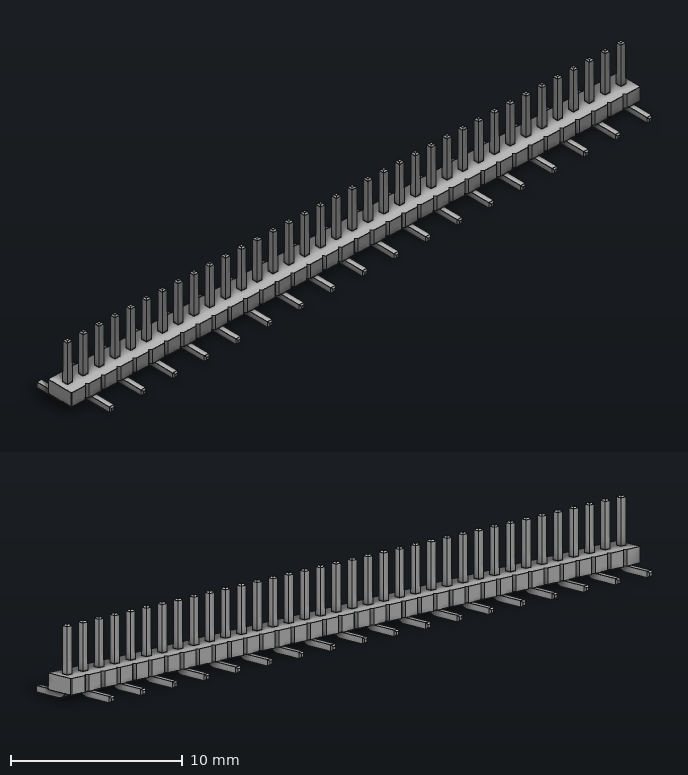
import cadquery as cq

pin_count = 36
pitch = 1.27
row_length = pin_count * pitch

body_width = 2.0
body_height = 1.0
body_bottom = 0.5
notch_depth = 0.15
notch_half_width = 0.15
end_chamfer = 0.05

pin_size = 0.4
pin_top = 4.5
foot_span = 5.0
bend_inner_radius = 0.4
tip_chamfer = 0.1


def body_side(side):
    """Long edge of the strip, from -Y to +Y: chamfered ends and a V notch at each cell joint."""
    outer_x = side * body_width / 2
    inner_x = side * (body_width / 2 - notch_depth)
    end_y = row_length / 2
    end_x = side * (body_width / 2 - end_chamfer)
    points = [(end_x, -end_y), (outer_x, -end_y + end_chamfer)]
    for joint in range(1, pin_count):
        joint_y = -end_y + joint * pitch
        points += [
            (outer_x, joint_y - notch_half_width),
            (inner_x, joint_y),
            (outer_x, joint_y + notch_half_width),
        ]
    points += [(outer_x, end_y - end_chamfer), (end_x, end_y)]
    return points


def make_body():
    """Insulating strip, notched between the cells on both long sides."""
    outline = body_side(1) + body_side(-1)[::-1]
    return cq.Workplane("XY", origin=(0, 0, body_bottom)).polyline(outline).close().extrude(body_height)


def make_pin():
    """Vertical pin bent at the bottom into a foot that points to -X."""
    half = pin_size / 2
    bend_radius = bend_inner_radius + half
    bend_path = (
        cq.Workplane("XZ")
        .moveTo(0, pin_top)
        .lineTo(0, half + bend_radius)
        .radiusArc((-bend_radius, half), bend_radius)
        .lineTo(-foot_span / 2, half)
    )
    pin = cq.Workplane("XY", origin=(0, 0, pin_top)).rect(pin_size, pin_size).sweep(bend_path)
    return pin.faces(">Z or <X").chamfer(tip_chamfer)


left_pin = make_pin()
right_pin = left_pin.rotate((0, 0, 0), (0, 0, 1), 180)

result = make_body()
for index in range(pin_count):
    pin = left_pin if index % 2 == 0 else right_pin
    pin_y = -row_length / 2 + (index + 0.5) * pitch
    result = result.union(pin.translate((0, pin_y, 0)))